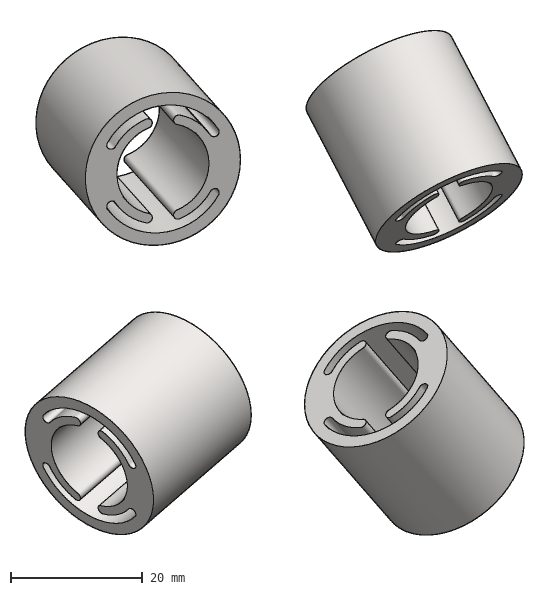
import cadquery as cq
import math

length = 24.0
outer_radius = 12.38
bore_radius = 7.33
slot_inner_radius = 8.85
slot_outer_radius = 10.35

slot_end_angle = 31.2
tongue_tip_angle = 72.3


def polar(radius, angle):
    """Point in the YZ cross-section."""
    a = math.radians(angle)
    return radius * math.cos(a), radius * math.sin(a)


def section():
    """Cross-section plane at the -X end of the sleeve."""
    return cq.Workplane("YZ", origin=(-length / 2, 0, 0))


def extrude(profile):
    return profile.extrude(length)


def ring_sector(inner, outer, start, end):
    """Full-length part of a ring between two angles."""
    middle = (start + end) / 2
    return extrude(
        section()
        .moveTo(*polar(inner, start))
        .lineTo(*polar(outer, start))
        .threePointArc(polar(outer, middle), polar(outer, end))
        .lineTo(*polar(inner, end))
        .threePointArc(polar(inner, middle), polar(inner, start))
        .close()
    )


def round_end(inner, outer, angle):
    """Full-length cylinder that rounds the end of a ring sector."""
    center = polar((inner + outer) / 2, angle)
    return extrude(section().moveTo(*center).circle((outer - inner) / 2))


result = extrude(section().circle(outer_radius).circle(bore_radius))

for side in (0, 180):
    slot_ends = (side + slot_end_angle, side + 180 - slot_end_angle)
    tongue_tips = (side + tongue_tip_angle, side + 180 - tongue_tip_angle)

    result = result.cut(ring_sector(slot_inner_radius, slot_outer_radius, *slot_ends))
    for angle in slot_ends:
        result = result.cut(round_end(slot_inner_radius, slot_outer_radius, angle))

    opening_inner_radius = bore_radius / 2
    result = result.cut(ring_sector(opening_inner_radius, slot_inner_radius, *tongue_tips))
    for angle in tongue_tips:
        result = result.union(round_end(bore_radius, slot_inner_radius, angle))

result = result.clean()